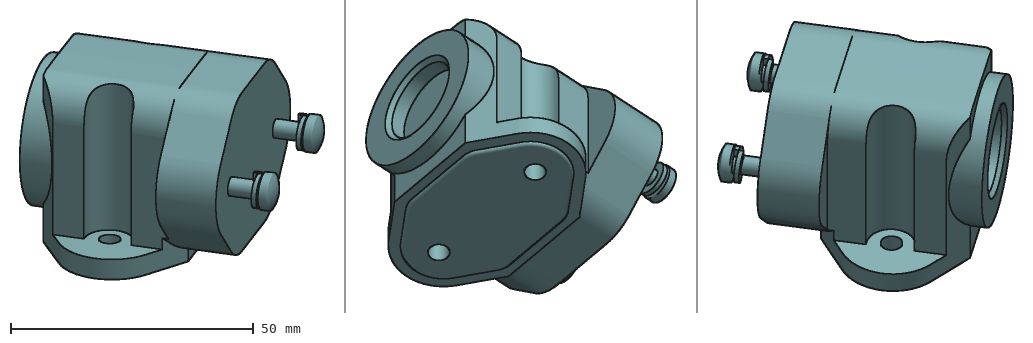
import cadquery as cq
import math


BODY_FRONT = 3.5
FLANGE_FRONT = 32.4
FLANGE_BACK = 45.4
BASE_BACK = 34.9
BASE_CENTER = (BODY_FRONT + BASE_BACK) / 2
BASE_HALF_LENGTH = (BASE_BACK - BODY_FRONT) / 2

BARREL_RADIUS = 16.0
BORE_RADIUS = 9.0
BORE_DEPTH = 4.3
BORE_CHAMFER = 1.0

FLANGE_HALF_WIDTH = 24.955
FLANGE_HALF_HEIGHT = 18.0
TOP_FLAT = 7.5
TOP_RADIUS = 10.0
COS_45 = math.sqrt(0.5)

BODY_HALF_WIDTH = 16.5
SHOULDER_RADIUS = 8.0
PANEL_FLAT = 8.2
PANEL_EDGE = 9.2
PANEL_DROP = 0.07

BASE_TOP = -15.7
BASE_BOTTOM = -20.3
PAD_BOTTOM = -21.1
LOBE_CENTER = 13.55
LOBE_RADIUS = FLANGE_HALF_WIDTH - LOBE_CENTER
LOBE_ANGLE = math.radians(35)
PAD_END_INSET = 2.1
PAD_SIDE_INSET = 2.5
PAD_CORNER_RADIUS = 5.0
PAD_EDGE_RADIUS = 0.75

HOLE_SPACING = 30.0
HOLE_DIAMETER = 4.5
SLOT_RADIUS = 5.1
SLOT_CENTER = 15.65

SCREW_SPACING = 30.0
SHANK_RADIUS = 2.0
HEAD_RADIUS = 4.0
HEAD_FRONT = 52.38
DOME_START = 54.43
SCREW_END = 55.58
HEAD_EDGE_RADIUS = 0.2
WASHER_RADIUS = 3.8
WASHER_FRONT = 50.28
WASHER_THICKNESS = (HEAD_FRONT - WASHER_FRONT) / 2


def along_x(x):
    """Workplane normal to X whose local axes are Y and Z."""
    return cq.Workplane("YZ", origin=(x, 0, 0))


def on_arc(center, radius, angle):
    """Point on a circle at the given angle from the first sketch axis."""
    return (center[0] + radius * math.cos(angle), center[1] + radius * math.sin(angle))


def flange_prism(start, end):
    """Flange section between two X stations."""
    corner_center = (TOP_FLAT, FLANGE_HALF_HEIGHT - TOP_RADIUS)
    top_end = on_arc(corner_center, TOP_RADIUS, math.pi / 4)
    top_mid = on_arc(corner_center, TOP_RADIUS, math.pi * 3 / 8)
    flank_sum = top_end[0] + top_end[1]
    side_radius = (flank_sum - FLANGE_HALF_WIDTH) / (1 / COS_45 - 1)
    side_start = (FLANGE_HALF_WIDTH - side_radius * (1 - COS_45), side_radius * COS_45)
    half = (
        along_x(start)
        .moveTo(0, FLANGE_HALF_HEIGHT)
        .lineTo(TOP_FLAT, FLANGE_HALF_HEIGHT)
        .threePointArc(top_mid, top_end)
        .lineTo(*side_start)
        .threePointArc((FLANGE_HALF_WIDTH, 0), (side_start[0], -side_start[1]))
        .lineTo(top_end[0], -top_end[1])
        .threePointArc((top_mid[0], -top_mid[1]), (TOP_FLAT, -FLANGE_HALF_HEIGHT))
        .lineTo(0, -FLANGE_HALF_HEIGHT)
    )
    return half.mirrorY().extrude(end - start)


def body_prism(start, end):
    """Body section: shallow ridged top panel, rounded shoulders, straight sides."""
    top_center = (TOP_FLAT, FLANGE_HALF_HEIGHT - TOP_RADIUS)
    shoulder_y = BODY_HALF_WIDTH - SHOULDER_RADIUS
    touch_angle = math.acos((shoulder_y - top_center[0]) / (TOP_RADIUS - SHOULDER_RADIUS))
    shoulder_center = on_arc(top_center, TOP_RADIUS - SHOULDER_RADIUS, touch_angle)
    panel_angle = math.acos((PANEL_EDGE - top_center[0]) / TOP_RADIUS)
    half = (
        along_x(start)
        .moveTo(0, FLANGE_HALF_HEIGHT)
        .lineTo(PANEL_FLAT, FLANGE_HALF_HEIGHT - PANEL_DROP)
        .tangentArcPoint(on_arc(top_center, TOP_RADIUS, panel_angle), relative=False)
        .threePointArc(
            on_arc(top_center, TOP_RADIUS, (panel_angle + touch_angle) / 2),
            on_arc(top_center, TOP_RADIUS, touch_angle),
        )
        .threePointArc(
            on_arc(shoulder_center, SHOULDER_RADIUS, touch_angle / 2),
            on_arc(shoulder_center, SHOULDER_RADIUS, 0),
        )
        .lineTo(BODY_HALF_WIDTH, BASE_BOTTOM)
        .lineTo(0, BASE_BOTTOM)
    )
    return half.mirrorY().extrude(end - start)


def base_prism(bottom, top, end_inset=0.0, side_inset=0.0):
    """Two-lobed base outline: straight ends, oblique sides, one round lobe at each hole."""
    half_length = BASE_HALF_LENGTH - end_inset
    radius = LOBE_RADIUS - side_inset
    tangent_x = radius * math.cos(LOBE_ANGLE)
    tangent_y = LOBE_CENTER + radius * math.sin(LOBE_ANGLE)
    corner_y = tangent_y - (half_length - tangent_x) / math.tan(LOBE_ANGLE)
    outline = (
        cq.Workplane("XY", origin=(BASE_CENTER, 0, bottom))
        .moveTo(half_length, -corner_y)
        .lineTo(half_length, corner_y)
        .lineTo(tangent_x, tangent_y)
        .threePointArc((0, LOBE_CENTER + radius), (-tangent_x, tangent_y))
        .lineTo(-half_length, corner_y)
        .lineTo(-half_length, -corner_y)
        .lineTo(-tangent_x, -tangent_y)
        .threePointArc((0, -LOBE_CENTER - radius), (tangent_x, -tangent_y))
        .close()
    )
    return outline.extrude(top - bottom)


def base_pad():
    """Raised pad under the base with rounded corners and a rounded lower rim."""
    pad = base_prism(PAD_BOTTOM, BASE_BOTTOM, PAD_END_INSET, PAD_SIDE_INSET)
    end_corners = pad.faces("<X or >X").edges("|Z")
    return end_corners.fillet(PAD_CORNER_RADIUS).faces("<Z").edges().fillet(PAD_EDGE_RADIUS)


def clearance_slot(side):
    """Round-ended vertical slot, open to the outside, above one mounting hole."""
    height = FLANGE_HALF_HEIGHT - BASE_TOP
    plane = cq.Workplane("XY", origin=(BASE_CENTER, side * SLOT_CENTER, BASE_TOP))
    open_length = FLANGE_HALF_WIDTH - SLOT_CENTER
    opening = plane.center(0, side * open_length / 2).rect(2 * SLOT_RADIUS, open_length).extrude(height)
    return plane.circle(SLOT_RADIUS).extrude(height).union(opening)


def bore():
    """Blind bore in the barrel face with a chamfered mouth."""
    return (
        cq.Workplane("XY")
        .lineTo(0, BORE_RADIUS + BORE_CHAMFER)
        .lineTo(BORE_CHAMFER, BORE_RADIUS)
        .lineTo(BORE_DEPTH, BORE_RADIUS)
        .lineTo(BORE_DEPTH, 0)
        .close()
        .revolve(360, (0, 0, 0), (1, 0, 0))
    )


def make_housing():
    body = body_prism(BODY_FRONT, BASE_BACK).intersect(base_prism(BASE_BOTTOM, FLANGE_HALF_HEIGHT))
    neck = body_prism(BASE_CENTER, FLANGE_FRONT).intersect(flange_prism(BASE_CENTER, FLANGE_FRONT))
    housing = body.union(neck)
    housing = housing.union(along_x(0).circle(BARREL_RADIUS).extrude(BASE_CENTER))
    for side in (-1, 1):
        housing = housing.cut(clearance_slot(side))
    housing = housing.union(base_prism(BASE_BOTTOM, BASE_TOP)).union(base_pad())
    housing = housing.union(flange_prism(FLANGE_FRONT, FLANGE_BACK))
    holes = (
        cq.Workplane("XY", origin=(BASE_CENTER, 0, PAD_BOTTOM))
        .rarray(1, HOLE_SPACING, 1, 2)
        .circle(HOLE_DIAMETER / 2)
        .extrude(BASE_TOP - PAD_BOTTOM)
    )
    return housing.cut(holes).cut(bore())


def spring_washer():
    """One left-hand turn of a square-edged coil around the shank, split at the top."""
    path = cq.Wire.makeHelix(WASHER_THICKNESS, WASHER_THICKNESS, WASHER_RADIUS, lefthand=True)
    inner = SHANK_RADIUS / 2
    coil = (
        cq.Workplane("XZ")
        .moveTo(inner, 0)
        .lineTo(WASHER_RADIUS, 0)
        .lineTo(WASHER_RADIUS, WASHER_THICKNESS)
        .lineTo(inner, WASHER_THICKNESS)
        .close()
        .sweep(cq.Workplane(path), isFrenet=True)
    )
    coil = coil.rotate((0, 0, 0), (0, 1, 0), 90).rotate((0, 0, 0), (1, 0, 0), 180)
    return coil.translate((WASHER_FRONT, 0, 0))


def screw_head():
    """Domed head with slightly rounded rims on both ends of its cylinder."""
    dome_height = SCREW_END - DOME_START
    sphere_radius = (HEAD_RADIUS**2 + dome_height**2) / (2 * dome_height)
    mid_angle = math.asin(HEAD_RADIUS / sphere_radius) / 2
    dome_mid = on_arc((SCREW_END - sphere_radius, 0), sphere_radius, mid_angle)
    head = (
        cq.Workplane("XY")
        .moveTo(HEAD_FRONT, 0)
        .lineTo(HEAD_FRONT, HEAD_RADIUS)
        .lineTo(DOME_START, HEAD_RADIUS)
        .threePointArc(dome_mid, (SCREW_END, 0))
        .close()
        .revolve(360, (0, 0, 0), (1, 0, 0))
    )
    return head.faces("%CYLINDER").edges("%CIRCLE").fillet(HEAD_EDGE_RADIUS)


def make_screw(y):
    shank = along_x(FLANGE_BACK).circle(SHANK_RADIUS).extrude(HEAD_FRONT - FLANGE_BACK)
    return shank.union(screw_head()).union(spring_washer()).translate((0, y, 0))


housing = make_housing()
screws = [make_screw(side * SCREW_SPACING / 2) for side in (-1, 1)]

result = cq.Compound.makeCompound([housing.val(), *[screw.val() for screw in screws]])